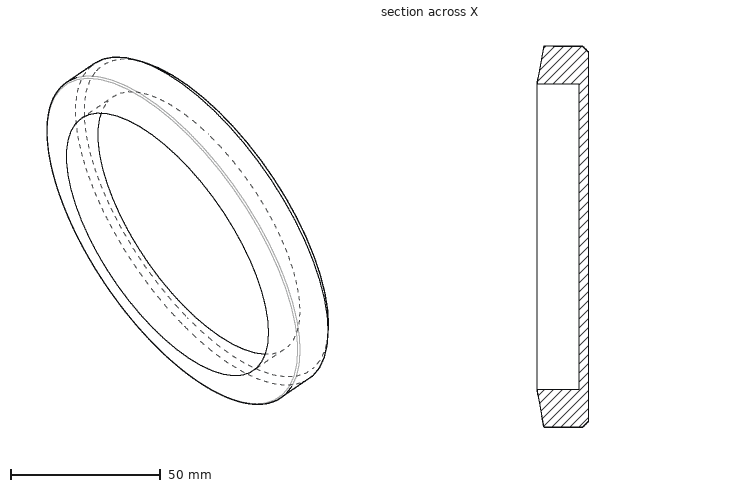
import cadquery as cq

outer_radius = 63.7
thickness = 17.3
recess_radius = 51.0
recess_depth = 14.0
taper_depth = 2.3
edge_round = 0.6
back_chamfer = 2.0

front_y = -thickness / 2
back_y = thickness / 2

body = (
    cq.Workplane("XY")
    .moveTo(0, front_y)
    .lineTo(recess_radius, front_y)
    .lineTo(outer_radius, front_y + taper_depth)
    .lineTo(outer_radius, back_y - back_chamfer)
    .lineTo(outer_radius - back_chamfer, back_y)
    .lineTo(0, back_y)
    .close()
    .revolve(360, (0, 0, 0), (0, 1, 0))
)

front_rim_corner = cq.selectors.BoxSelector(
    (-outer_radius, front_y + taper_depth / 2, -outer_radius),
    (outer_radius, front_y + taper_depth * 1.5, outer_radius),
)
body = body.edges("%CIRCLE").edges(front_rim_corner).fillet(edge_round)

recess = (
    cq.Workplane("XZ", origin=(0, front_y, 0))
    .circle(recess_radius)
    .extrude(-recess_depth)
)

result = body.cut(recess)